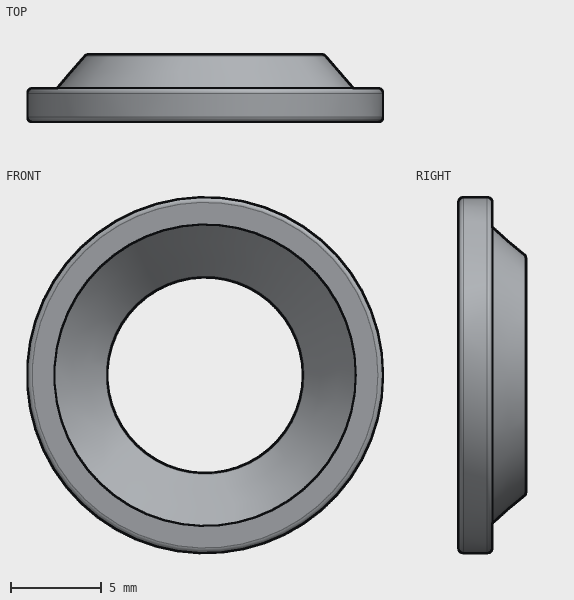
import cadquery as cq

flange_diameter = 19.6
flange_thickness = 1.88
total_height = 3.75
edge_fillet = 0.3

collar_base_diameter = 16.3
collar_top_diameter = 13.1

countersink_diameter = 16.58
throat_diameter = 10.04

front_y = -total_height / 2
flange_back_y = front_y + flange_thickness
collar_top_y = front_y + total_height


def frustum(start_diameter, start_y, end_diameter, end_y):
    """Solid cone or cylinder about the Y axis, from start_y to end_y."""
    profile = (
        cq.Workplane("XY")
        .moveTo(0, start_y)
        .lineTo(start_diameter / 2, start_y)
        .lineTo(end_diameter / 2, end_y)
        .lineTo(0, end_y)
        .close()
    )
    return profile.revolve(360, (0, 0, 0), (0, 1, 0))


flange = frustum(flange_diameter, front_y, flange_diameter, flange_back_y)
flange = flange.edges("%CIRCLE").fillet(edge_fillet)

collar = frustum(collar_base_diameter, flange_back_y, collar_top_diameter, collar_top_y)
countersink = frustum(countersink_diameter, front_y, throat_diameter, collar_top_y)

washer = flange.union(collar).cut(countersink)
result = washer.faces(">Y").edges().fillet(edge_fillet)